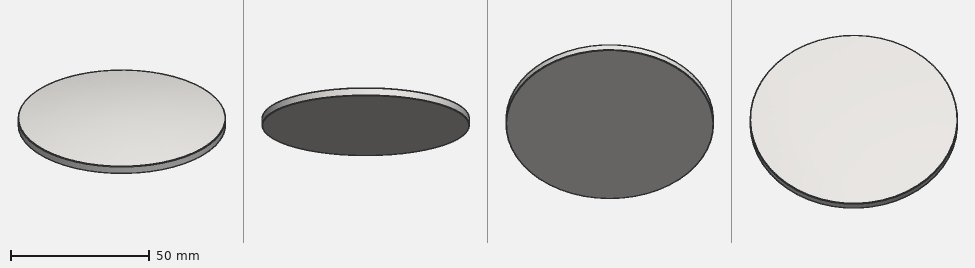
import cadquery as cq
import math

DIAMETER = 75.0
CENTRE_THICKNESS = 6.08
EDGE_THICKNESS = 3.0
BEVEL = 0.25

radius = DIAMETER / 2
dome_height = CENTRE_THICKNESS - EDGE_THICKNESS
sphere_radius = (radius**2 + dome_height**2) / (2 * dome_height)
sphere_centre_z = CENTRE_THICKNESS - sphere_radius


def sphere_z(r):
    """Height of the spherical face at distance r from the lens axis."""
    return sphere_centre_z + math.sqrt(sphere_radius**2 - r**2)


def lens_half_profile():
    """Half section in the XZ plane, from the axis out to the rim."""
    rim_radius = radius - BEVEL
    return (
        cq.Workplane("XZ")
        .lineTo(rim_radius, 0)
        .lineTo(radius, BEVEL)
        .lineTo(radius, EDGE_THICKNESS - BEVEL)
        .lineTo(rim_radius, sphere_z(rim_radius))
        .threePointArc((radius / 2, sphere_z(radius / 2)), (0, CENTRE_THICKNESS))
        .close()
    )


result = lens_half_profile().revolve(360, (0, 0, 0), (0, 1, 0))